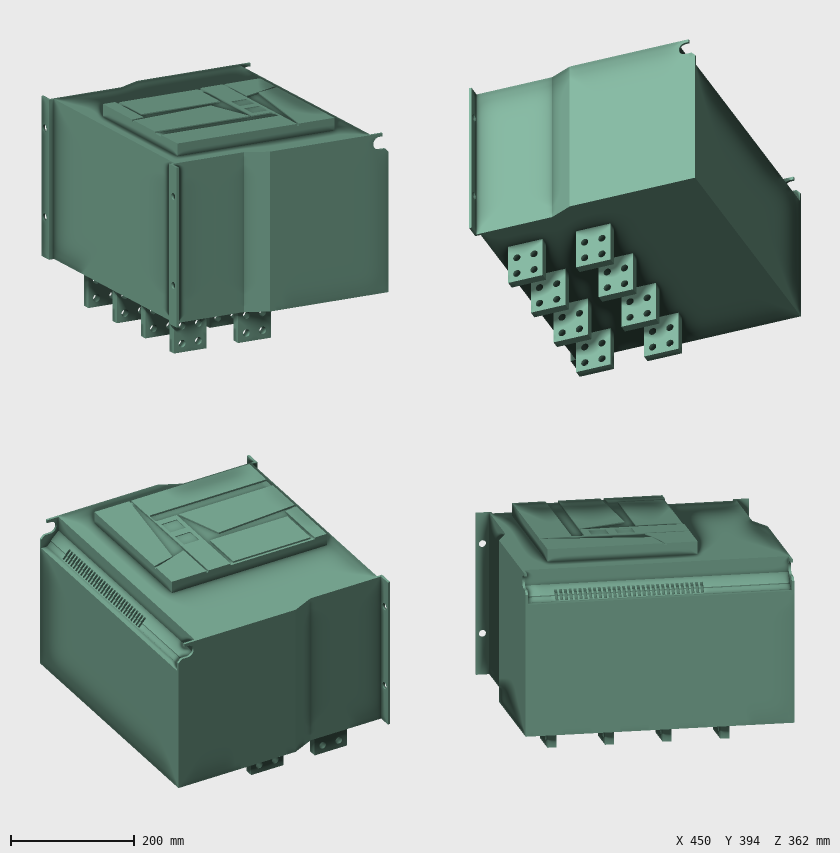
import cadquery as cq


overall_width = 450.0
overall_depth = 394.0
overall_height = 362.0
cabinet_height = 270.5
rear_width = 443.0
front_width = 407.0
taper_front = 136.5
taper_rear = 174.5
front_face = 9.5
plate = 4.0

flange_hole_diameter = 12.0
flange_hole_offset = 214.0
flange_hole_heights = (68.5, 218.5)

step_floor_depth = 49.5
step_floor_length = 11.0
slope_run = 21.5
riser_run = 7.0
riser_height = 2.0
step_floor = cabinet_height - step_floor_depth
slope_foot = overall_depth - step_floor_length
slope_head = slope_foot - slope_run

notch_radius = 11.0
notch_centre_y = 376.5
notch_centre_depth = 16.0
tab_tip = 383.0
plate_chamfer = 6.5

slot_count = 31
slot_width = 5.0
slot_span = 240.5
slot_lip = 1.5
slot_length = 13.0
slot_depth = 4.5

terminal_length = 69.8
terminal_count = 4
terminal_pitch = 95.0
terminal_thickness = 15.0
terminal_width = 60.5
terminal_row_centres = (67.0, 186.0)
terminal_hole_pitch = 30.0
terminal_hole_diameter = 12.5
terminal_hole_depth = 40.0

panel_left = -76.5
panel_right = 171.0
panel_front = 31.5
panel_rear = 321.8
raised = 3.0
panel_top = overall_height - terminal_length
panel_base_top = panel_top - raised

upper_edge = 256.5
band_rear = 253.0
band_front = 211.5
lever_left = 96.0
lever_right = 116.5
lever_rear = 251.0
lever_corner = 3.5
window_size = 29.0
window_centre_y = 233.0
window_centres_x = (26.0, 69.5)
window_depth = 1.5
upper_left_head = -26.0
upper_left_foot = -2.5
upper_right_head = -20.5
upper_right_bend = (-10.0, 281.5)
display_left = -72.5
display_right = 2.2
display_front = 59.5
display_rear = 204.5
lower_left_rear = 54.0
lower_left_foot = 20.5
lower_left_head = 18.0
lower_middle_foot = 26.0
lower_middle_bend = (15.5, 180.0)
lower_middle_rear = 208.0


def block(x_range, y_range, z_range):
    """Box spanning the given (low, high) ranges."""
    sizes = [high - low for low, high in (x_range, y_range, z_range)]
    corner = (x_range[0], y_range[0], z_range[0])
    return cq.Workplane("XY").box(*sizes, centered=False).translate(corner)


def cabinet_body():
    """Main block, wide at the rear and tapering in to a narrower front."""
    half_rear = rear_width / 2
    half_front = front_width / 2
    right_side = [
        (half_front, front_face),
        (half_front, taper_front),
        (half_rear, taper_rear),
        (half_rear, overall_depth),
    ]
    left_side = [(-x, y) for x, y in reversed(right_side)]
    return cq.Workplane("XY").polyline(right_side + left_side).close().extrude(cabinet_height)


def flange(side):
    """Angle strip on the front corner; side is -1 for left and 1 for right."""
    outer = side * overall_width / 2
    wall_outer = side * front_width / 2
    wall_inner = wall_outer - side * plate
    profile = [
        (outer, 0),
        (wall_inner, 0),
        (wall_inner, front_face + plate),
        (wall_outer, front_face + plate),
        (wall_outer, plate),
        (outer, plate),
    ]
    strip = cq.Workplane("XY").polyline(profile).close().extrude(cabinet_height)
    hole_centres = [(side * flange_hole_offset, z) for z in flange_hole_heights]
    holes = cq.Workplane("XZ").pushPoints(hole_centres).circle(flange_hole_diameter / 2).extrude(-plate)
    return strip.cut(holes)


def rear_step():
    """Space cleared above the rear ledge and its 45 degree slope, which has a small riser."""
    riser_y = slope_foot - riser_run
    riser_foot = step_floor + riser_run
    slope_head_height = step_floor + slope_run + riser_height
    profile = [
        (overall_depth, cabinet_height),
        (overall_depth, step_floor),
        (slope_foot, step_floor),
        (riser_y, riser_foot),
        (riser_y, riser_foot + riser_height),
        (slope_head, slope_head_height),
        (slope_head, cabinet_height),
    ]
    inner_width = rear_width - 2 * plate
    return cq.Workplane("YZ").polyline(profile).close().extrude(inner_width / 2, both=True)


def vent_slots():
    """Row of slots cut at a constant depth below the slope, leaving a lip at its foot."""
    pitch = slot_span / (slot_count - 1)
    slot_rear = slope_foot - slot_lip
    slot_front = slot_rear - slot_length
    slot_rear_floor = step_floor + slot_lip - slot_depth
    slot_front_floor = slot_rear_floor + slot_length
    profile = [
        (slot_rear, cabinet_height),
        (slot_front, cabinet_height),
        (slot_front, slot_front_floor),
        (slot_rear, slot_rear_floor),
    ]
    slot = cq.Workplane("YZ").polyline(profile).close().extrude(slot_width / 2, both=True)
    panel_centre = (panel_left + panel_right) / 2
    slots = cq.Workplane("XY")
    for i in range(slot_count):
        slots = slots.add(slot.translate((panel_centre - slot_span / 2 + i * pitch, 0, 0)))
    return slots.combine()


def plate_notch():
    """Round-ended notch through both side plates, with a chamfer on the corner below it."""
    centre_z = cabinet_height - notch_centre_depth
    notch_top = centre_z + notch_radius
    notch_bottom = centre_z - notch_radius
    return (
        cq.Workplane("YZ")
        .moveTo(tab_tip, cabinet_height)
        .lineTo(tab_tip, notch_top)
        .lineTo(notch_centre_y, notch_top)
        .threePointArc((notch_centre_y - notch_radius, centre_z), (notch_centre_y, notch_bottom))
        .lineTo(overall_depth - plate_chamfer, notch_bottom)
        .lineTo(overall_depth, notch_bottom - plate_chamfer)
        .lineTo(overall_depth, cabinet_height)
        .close()
        .extrude(overall_width, both=True)
    )


def terminals():
    """Two rows of drilled flat bars below the cabinet."""
    bar_span = terminal_pitch * (terminal_count - 1)
    bars = cq.Workplane("XY")
    for i in range(terminal_count):
        x = i * terminal_pitch - bar_span / 2
        for y in terminal_row_centres:
            bars = bars.union(
                block(
                    (x - terminal_thickness / 2, x + terminal_thickness / 2),
                    (y - terminal_width / 2, y + terminal_width / 2),
                    (-terminal_length, 0),
                )
            )
    for y in terminal_row_centres:
        holes = (
            cq.Workplane("YZ", origin=(0, y, -terminal_hole_depth))
            .rarray(terminal_hole_pitch, terminal_hole_pitch, 2, 2)
            .circle(terminal_hole_diameter / 2)
            .extrude(overall_width, both=True)
        )
        bars = bars.cut(holes)
    return bars


def raised_plate(points):
    """Flat plate standing on the panel base."""
    return cq.Workplane("XY", origin=(0, 0, panel_base_top)).polyline(points).close().extrude(raised)


def control_band():
    """Raised band with two windows, joined to the right-hand plate behind the lever groove."""
    band = raised_plate(
        [
            (panel_left, band_front),
            (lever_left, band_front),
            (lever_right, band_front),
            (lever_right, panel_front),
            (panel_right, panel_front),
            (panel_right, band_rear),
            (panel_left, band_rear),
        ]
    )
    groove = block(
        (lever_left, lever_right),
        (panel_front, lever_rear),
        (panel_base_top, panel_top),
    )
    band = band.cut(groove.edges("|Z and >Y").fillet(lever_corner))
    windows = (
        cq.Workplane("XY", origin=(0, 0, panel_top))
        .pushPoints([(x, window_centre_y) for x in window_centres_x])
        .rect(window_size, window_size)
        .extrude(-window_depth)
    )
    return band.cut(windows)


def control_panel():
    """Panel base carrying the raised plates; clean=False keeps the seam around their feet."""
    panel = block((panel_left, panel_right), (panel_front, panel_rear), (cabinet_height, panel_base_top))
    upper_left = [
        (panel_left, panel_rear),
        (panel_left, upper_edge),
        (upper_left_foot, upper_edge),
        (upper_left_head, panel_rear),
    ]
    upper_right = [
        (upper_right_head, panel_rear),
        upper_right_bend,
        (panel_right, upper_edge),
        (panel_right, panel_rear),
    ]
    display = [
        (display_left, display_front),
        (display_right, display_front),
        (display_right, display_rear),
        (display_left, display_rear),
    ]
    lower_left = [
        (panel_left, panel_front),
        (lower_left_foot, panel_front),
        (lower_left_head, lower_left_rear),
        (panel_left, lower_left_rear),
    ]
    lower_middle = [
        (lower_middle_foot, panel_front),
        (lever_left, panel_front),
        (lever_left, lower_middle_rear),
        lower_middle_bend,
    ]
    for outline in (upper_left, upper_right, display, lower_left, lower_middle):
        panel = panel.union(raised_plate(outline), clean=False)
    return panel.union(control_band(), clean=False)


cabinet = cabinet_body().union(flange(-1)).union(flange(1))
cabinet = cabinet.cut(rear_step()).cut(vent_slots()).cut(plate_notch())
result = cabinet.union(control_panel(), clean=False).union(terminals(), clean=False)